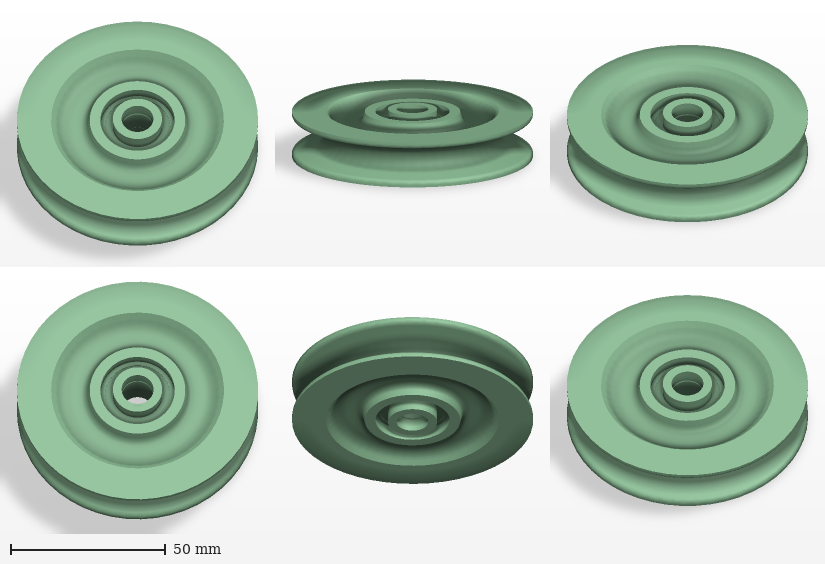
import cadquery as cq
import math

wheel_radius = 39.0
wheel_width = 15.0
bore_radius = 12.0

groove_floor_radius = 28.1
groove_arc_radius = 4.0
flank_angle = math.radians(12)
rim_fillet = 1.5

recess_mouth_radius = 27.9
recess_wall_angle = math.radians(44)
recess_depth = 3.6
recess_fillet = 5.0
hub_top_radius = 15.45
hub_draft_angle = math.radians(15)
hub_fillet = 2.0

overall_width = 16.5
bearing_width = 8.0
shaft_radius = 5.0
inner_ring_radius = 7.95
bore_chamfer = 0.3
outer_ring_inner_radius = 10.6
shield_thickness = 0.8
shield_inset = 0.2
spacer_bore_radius = 5.15

half_wheel = wheel_width / 2
half_bearing = bearing_width / 2
recess_floor_z = half_wheel - recess_depth
spacer_length = overall_width / 2 - half_bearing


def ring(outer_radius, inner_radius, bottom_z, height):
    """A plain ring around the Z axis."""
    return (
        cq.Workplane("XY", origin=(0, 0, bottom_z))
        .circle(outer_radius)
        .circle(inner_radius)
        .extrude(height)
    )


def revolve_about_z(profile):
    """Close an XZ profile and turn it fully around the Z axis."""
    return profile.close().revolve(360, (0, 0, 0), (0, 1, 0))


def groove_cutter():
    """Groove with a round floor and straight flanks tangent to it, opening outward."""
    flank_start_r = groove_floor_radius + groove_arc_radius * (1 - math.sin(flank_angle))
    flank_start_z = groove_arc_radius * math.cos(flank_angle)
    flank_end_z = flank_start_z + (wheel_radius - flank_start_r) * math.tan(flank_angle)
    return revolve_about_z(
        cq.Workplane("XZ")
        .moveTo(wheel_radius, -flank_end_z)
        .lineTo(flank_start_r, -flank_start_z)
        .threePointArc((groove_floor_radius, 0), (flank_start_r, flank_start_z))
        .lineTo(wheel_radius, flank_end_z)
    )


def recess_cutter():
    """Ring-shaped recess of the top face, rounded where its two walls meet its floor."""
    floor_outer_radius = recess_mouth_radius - recess_depth * math.tan(recess_wall_angle)
    floor_inner_radius = hub_top_radius + recess_depth * math.tan(hub_draft_angle)
    recess = revolve_about_z(
        cq.Workplane("XZ")
        .moveTo(hub_top_radius, half_wheel)
        .lineTo(floor_inner_radius, recess_floor_z)
        .lineTo(floor_outer_radius, recess_floor_z)
        .lineTo(recess_mouth_radius, half_wheel)
    )
    recess = recess.faces("<Z").edges(cq.selectors.RadiusNthSelector(-1)).fillet(recess_fillet)
    return recess.faces("<Z").edges(cq.selectors.RadiusNthSelector(0)).fillet(hub_fillet)


def make_wheel():
    """Grooved wheel, recessed alike on both faces, with a plain bore for the bearing."""
    wheel = ring(wheel_radius, bore_radius, -half_wheel, wheel_width).cut(groove_cutter())
    lips = wheel.edges("%CIRCLE and (not <Z) and (not >Z)").edges(cq.selectors.RadiusNthSelector(-1))
    wheel = lips.fillet(rim_fillet)
    top_recess = recess_cutter()
    return wheel.cut(top_recess).cut(top_recess.mirror("XY"))


def make_outer_ring():
    """Outer bearing ring, fitting the wheel bore."""
    return ring(bore_radius, outer_ring_inner_radius, -half_bearing, bearing_width)


def make_inner_ring():
    """Inner bearing ring, chamfered at both ends of its bore."""
    inner_ring = ring(inner_ring_radius, shaft_radius, -half_bearing, bearing_width)
    bore_ends = inner_ring.edges("%CIRCLE").edges(cq.selectors.RadiusNthSelector(0))
    return bore_ends.chamfer(bore_chamfer)


def make_top_shield():
    """Shield between the bearing rings, set slightly below their end faces."""
    shield_bottom_z = half_bearing - shield_inset - shield_thickness
    return ring(outer_ring_inner_radius, inner_ring_radius, shield_bottom_z, shield_thickness)


def make_top_spacer():
    """Spacer as wide as the inner ring it stands on, proud of the wheel face."""
    return ring(inner_ring_radius, spacer_bore_radius, half_bearing, spacer_length)


def on_both_sides(top_body):
    """The top body and its mirror image below, as two separate solids."""
    return [top_body.val(), top_body.mirror("XY").val()]


wheel = make_wheel()
outer_ring = make_outer_ring()
inner_ring = make_inner_ring()
shields = on_both_sides(make_top_shield())
spacers = on_both_sides(make_top_spacer())

result = cq.Compound.makeCompound([wheel.val(), outer_ring.val(), inner_ring.val(), *shields, *spacers])